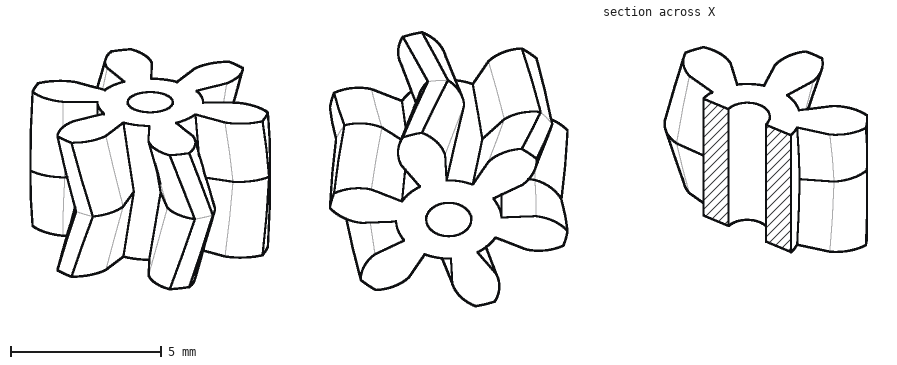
import cadquery as cq
import math

tooth_count = 6
face_width = 5.0
tip_radius = 4.0
root_radius = 1.76
shoulder_radius = 2.91
bore_diameter = 1.5
half_twist = 12.5

flank_half_angle = 15.3
tip_half_angle = 4.8
crown_x = 3.43
crown_y = 0.68
embed_radius = 1.28

half_width = face_width / 2


def polar(radius, degrees):
    angle = math.radians(degrees)
    return (radius * math.cos(angle), radius * math.sin(angle))


def tooth_outline():
    """Cross-section of one tooth, centred on +X."""
    return (
        cq.Workplane("XY")
        .moveTo(*polar(embed_radius, -flank_half_angle))
        .lineTo(*polar(shoulder_radius, -flank_half_angle))
        .threePointArc((crown_x, -crown_y), polar(tip_radius, -tip_half_angle))
        .threePointArc((tip_radius, 0), polar(tip_radius, tip_half_angle))
        .threePointArc((crown_x, crown_y), polar(shoulder_radius, flank_half_angle))
        .lineTo(*polar(embed_radius, flank_half_angle))
        .close()
    )


def herringbone_tooth():
    """Two mirrored helical halves meeting at the middle plane."""
    upper = (
        tooth_outline()
        .twistExtrude(half_width, -half_twist)
        .rotate((0, 0, 0), (0, 0, 1), half_twist)
    )
    return upper.union(upper.mirror("XY"))


gear = cq.Workplane("XY").circle(root_radius).extrude(half_width, both=True)
tooth = herringbone_tooth()
for index in range(tooth_count):
    turn = index * 360 / tooth_count
    gear = gear.union(tooth.rotate((0, 0, 0), (0, 0, 1), turn))

bore = cq.Workplane("XY").circle(bore_diameter / 2).extrude(half_width, both=True)
result = gear.cut(bore)